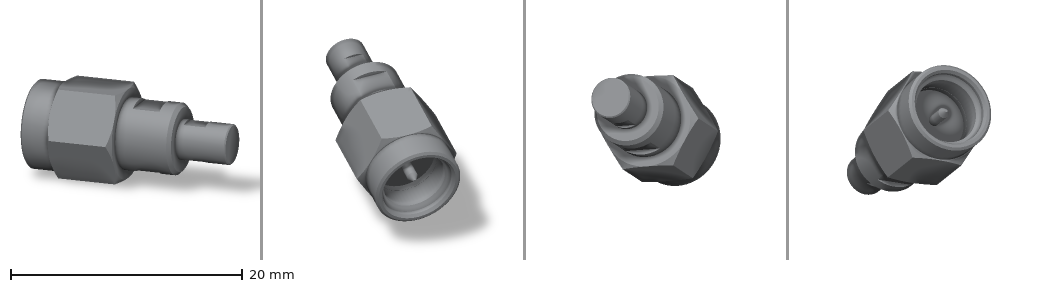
import cadquery as cq
import math

HEX_START = 2.58
HEX_END = 8.55
BARREL_END = 13.6
STUB_END = 18.2

SLEEVE_RADIUS = 3.91
SLEEVE_BEVEL_DEPTH = 0.18
SLEEVE_RIM_RADIUS = 3.7
HEX_FLATS = 8.0
HEX_CORNER_RADIUS = HEX_FLATS / math.sqrt(3)
HEX_BEVEL_ANGLE = 30.0
HEX_BEVEL_LENGTH = (HEX_CORNER_RADIUS - HEX_FLATS / 2) * math.tan(math.radians(HEX_BEVEL_ANGLE))
BARREL_RADIUS = 3.17
BARREL_CHAMFER = 0.33
STUB_RADIUS = 1.78
STUB_CHAMFER = 0.11

BARREL_FLAT_START = 9.57
BARREL_FLAT_LENGTH = 2.45
BARREL_FLAT_HEIGHT = 2.75
STUB_FLAT_START = 14.05
STUB_FLAT_LENGTH = 1.97
STUB_FLAT_HEIGHT = 1.57

MOUTH_RADIUS = 3.42
MOUTH_BEVEL_END = 0.27
RELIEF_RADIUS = 3.22
RELIEF_END = 0.64
BORE_RADIUS = 2.84
BORE_TAPER_END = RELIEF_END + RELIEF_RADIUS - BORE_RADIUS
BORE_END = 3.02
SEAT_RADIUS = 2.82
SOCKET_FLOOR = 3.62

INSULATOR_RADIUS = 2.28
INSULATOR_END = HEX_END
PIN_RADIUS = 0.47
PIN_TIP_RADIUS = 0.13
PIN_TIP = 0.95
PIN_CONE_END = 1.55
PIN_END = INSULATOR_END


def turned(profile):
    """Revolve a closed (position, radius) profile about the X axis."""
    return cq.Workplane("XY").polyline(profile).close().revolve(360, (0, 0, 0), (1, 0, 0))


def rod(start, end, radius):
    """Plain cylinder along X."""
    return cq.Workplane("YZ", origin=(start, 0, 0)).circle(radius).extrude(end - start)


def make_outer_form():
    """Sleeve, barrel and stub as one turned blank."""
    return turned([
        (0, 0),
        (0, SLEEVE_RIM_RADIUS),
        (SLEEVE_BEVEL_DEPTH, SLEEVE_RADIUS),
        (HEX_END, SLEEVE_RADIUS),
        (HEX_END, BARREL_RADIUS),
        (BARREL_END - BARREL_CHAMFER, BARREL_RADIUS),
        (BARREL_END, BARREL_RADIUS - BARREL_CHAMFER),
        (BARREL_END, STUB_RADIUS),
        (STUB_END - STUB_CHAMFER, STUB_RADIUS),
        (STUB_END, STUB_RADIUS - STUB_CHAMFER),
        (STUB_END, 0),
    ])


def make_hex():
    """Hexagon with corners on the Y axis and beveled corners at both ends."""
    prism = (
        cq.Workplane("YZ", origin=(HEX_START, 0, 0))
        .polygon(6, 2 * HEX_CORNER_RADIUS)
        .extrude(HEX_END - HEX_START)
    )
    bevel_envelope = turned([
        (HEX_START, 0),
        (HEX_START, HEX_FLATS / 2),
        (HEX_START + HEX_BEVEL_LENGTH, HEX_CORNER_RADIUS),
        (HEX_END - HEX_BEVEL_LENGTH, HEX_CORNER_RADIUS),
        (HEX_END, HEX_FLATS / 2),
        (HEX_END, 0),
    ])
    return prism.intersect(bevel_envelope)


def make_flat_cutters(start, length, flat_height, radius):
    """Pair of blocks that leave flats at +Z and -Z on a round section."""
    cutters = cq.Workplane("XY")
    for side in (-1, 1):
        center = (start + length / 2, 0, side * (flat_height + radius / 2))
        cutters = cutters.add(cq.Workplane("XY").box(length, 2 * radius, radius).translate(center))
    return cutters.combine()


def make_socket():
    """Stepped and tapered opening that receives the mating connector."""
    return turned([
        (0, 0),
        (0, MOUTH_RADIUS),
        (MOUTH_BEVEL_END, RELIEF_RADIUS),
        (RELIEF_END, RELIEF_RADIUS),
        (BORE_TAPER_END, BORE_RADIUS),
        (BORE_END, BORE_RADIUS),
        (BORE_END, SEAT_RADIUS),
        (SOCKET_FLOOR, SEAT_RADIUS),
        (SOCKET_FLOOR, 0),
    ])


def make_housing():
    """Metal shell with hex, wrench flats, socket and insulator seat."""
    shell = make_outer_form().union(make_hex())
    shell = shell.cut(
        make_flat_cutters(BARREL_FLAT_START, BARREL_FLAT_LENGTH, BARREL_FLAT_HEIGHT, BARREL_RADIUS)
    )
    shell = shell.cut(
        make_flat_cutters(STUB_FLAT_START, STUB_FLAT_LENGTH, STUB_FLAT_HEIGHT, STUB_RADIUS)
    )
    shell = shell.cut(make_socket())
    return shell.cut(rod(SOCKET_FLOOR, INSULATOR_END, INSULATOR_RADIUS))


def make_insulator():
    """Insulating plug, flush with the socket floor and bored for the pin."""
    plug = rod(SOCKET_FLOOR, INSULATOR_END, INSULATOR_RADIUS)
    return plug.cut(rod(SOCKET_FLOOR, PIN_END, PIN_RADIUS))


def make_pin():
    """Center contact with a blunt conical tip."""
    return turned([
        (PIN_TIP, 0),
        (PIN_TIP, PIN_TIP_RADIUS),
        (PIN_CONE_END, PIN_RADIUS),
        (PIN_END, PIN_RADIUS),
        (PIN_END, 0),
    ])


housing = make_housing()
insulator = make_insulator()
pin = make_pin()

result = cq.Compound.makeCompound([housing.val(), insulator.val(), pin.val()])